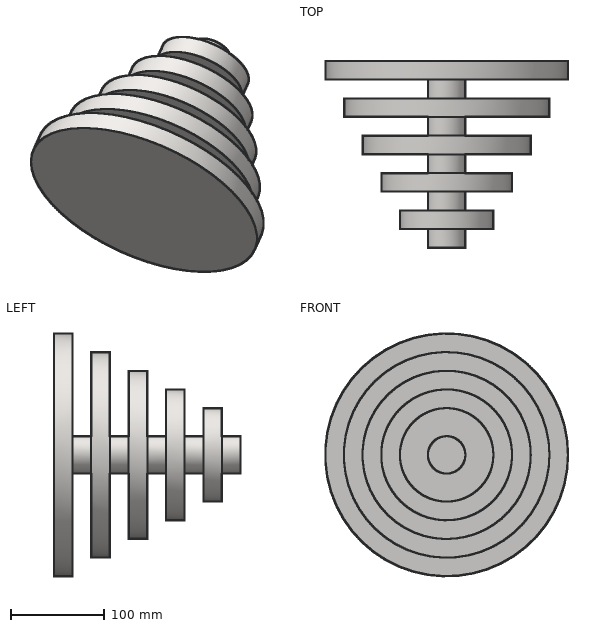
import cadquery as cq

largest_diameter = 260.0
total_length = 200.0
disc_count = 5

disc_thickness = total_length / (2 * disc_count)
disc_pitch = 2 * disc_thickness

shaft_diameter = 40.0
smallest_diameter = 100.0
diameter_step = (largest_diameter - smallest_diameter) / (disc_count - 1)


def cylinder_along_y(diameter, front_y, length):
    """Cylinder on the Y axis, from front_y towards +Y."""
    axis_plane = cq.Plane(origin=(0, front_y, 0), xDir=(1, 0, 0), normal=(0, 1, 0))
    return cq.Workplane(axis_plane).circle(diameter / 2).extrude(length)


shaft_front_y = -total_length / 2
result = cylinder_along_y(shaft_diameter, shaft_front_y, total_length)

for index in range(disc_count):
    disc_diameter = smallest_diameter + index * diameter_step
    disc_front_y = shaft_front_y + disc_thickness + index * disc_pitch
    result = result.union(cylinder_along_y(disc_diameter, disc_front_y, disc_thickness))